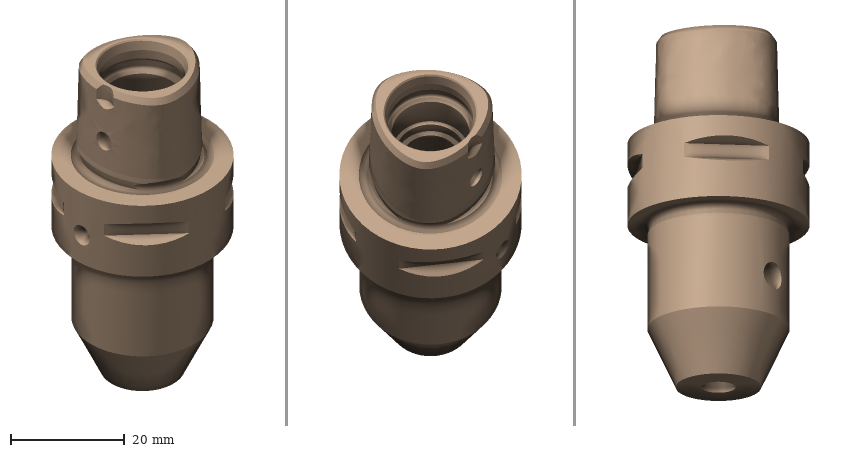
import cadquery as cq
import math


flange_diameter = 32.0
flange_height = 15.0
neck_diameter = 24.6
neck_length = 1.9
neck_fillet = 1.0
body_diameter = 25.0
nose_diameter = 15.0
nose_half_angle = 25.0
total_height = 64.0

shank_height = 19.0
shank_radius = 11.0
lobe = 0.7
curve_steps = 72
taper_slope = 1 / 40
gauge_height = 2.55
root_height = 1.55
root_inset = 0.2
collar_growth = 0.1
shank_chamfer_height = 1.1
shank_chamfer_inset = 0.75

relief_inner_radius = 10.75
relief_arc_radius = 1.0
relief_center_height = 0.55

mouth_diameter = 16.5
mouth_chamfer = 0.25
lip_diameter = 15.0
lip_top_height = 17.1
lip_bottom_height = 15.35
groove_top_height = 14.75
groove_bottom_height = 13.05
seat_diameter = 13.74
seat_top_height = 12.55
seat_floor_height = 6.6
counterbore_diameter = 12.3
counterbore_depth = 2.0
thread_core_diameter = 10.38
thread_depth = 8.0
clamping_diameter = 6.0
drill_half_angle = 60.0

slot_count = 4
slot_flat_distance = 14.15
slot_center_height = -6.05
slot_flat_height = 2.5
slot_flank_angle = 30.0

notch_radius = 2.8
notch_wall_distance = 8.95
notch_floor_height = 15.85
coolant_hole_diameter = 3.6
coolant_hole_height = 8.0
coolant_hole_end = 6.6
dimple_diameter = 4.0
dimple_height = -9.0

screw_hole_diameter = 4.92
screw_hole_height = -27.0
screw_hole_end = 0.0

flange_radius = flange_diameter / 2
bottom_height = shank_height - total_height


def make_body():
    """Flange, filleted neck, cylindrical body and conical nose as one revolved outline."""
    neck_radius = neck_diameter / 2
    body_radius = body_diameter / 2
    nose_radius = nose_diameter / 2
    neck_bottom = -flange_height - neck_length
    nose_length = (body_radius - nose_radius) / math.tan(math.radians(nose_half_angle))
    return (
        cq.Workplane("XZ")
        .lineTo(flange_radius, 0)
        .lineTo(flange_radius, -flange_height)
        .lineTo(neck_radius + neck_fillet, -flange_height)
        .radiusArc((neck_radius, -flange_height - neck_fillet), -neck_fillet)
        .lineTo(neck_radius, neck_bottom)
        .lineTo(body_radius, neck_bottom)
        .lineTo(body_radius, bottom_height + nose_length)
        .lineTo(nose_radius, bottom_height)
        .lineTo(0, bottom_height)
        .close()
        .revolve(360, (0, 0), (0, 1))
    )


def lobed_wire(radius, height):
    """Closed three-lobed curve with one lobe toward +Y."""

    def point(turn):
        angle = 2 * math.pi * turn - math.pi / 2
        tangent_distance = radius - lobe * math.sin(3 * angle)
        slope = -3 * lobe * math.cos(3 * angle)
        return (
            tangent_distance * math.cos(angle) - slope * math.sin(angle),
            tangent_distance * math.sin(angle) + slope * math.cos(angle),
        )

    return cq.Workplane("XY").workplane(offset=height).parametricCurve(point, N=curve_steps).val()


def lobed_frustum(bottom_radius, lower_height, top_radius, upper_height):
    """Solid with straight sides between two lobed curves."""
    wires = [lobed_wire(bottom_radius, lower_height), lobed_wire(top_radius, upper_height)]
    return cq.Workplane(cq.Solid.makeLoft(wires, True))


def make_shank():
    """Straight lobed root, short flared collar, long taper and end chamfer."""
    root_radius = shank_radius - root_inset
    chamfer_start = shank_height - shank_chamfer_height
    taper_end_radius = shank_radius - taper_slope * (chamfer_start - gauge_height)
    end_radius = taper_end_radius - shank_chamfer_inset
    sections = [
        (shank_radius + collar_growth, root_height),
        (shank_radius, gauge_height),
        (taper_end_radius, chamfer_start),
        (end_radius, shank_height),
    ]
    shank = lobed_frustum(root_radius, -relief_arc_radius, root_radius, root_height)
    for lower, upper in zip(sections, sections[1:]):
        shank = shank.union(lobed_frustum(*lower, *upper))
    return shank


def make_relief():
    """Ring cutter: round inside with a 45 degree upper flank that trims the lobes."""
    center_radius = relief_inner_radius + relief_arc_radius
    diagonal = relief_arc_radius * math.sqrt(0.5)
    flank_start = (center_radius - diagonal, relief_center_height + diagonal)
    flank_end = (flange_radius, flank_start[1] + flange_radius - flank_start[0])
    outer_angle = math.asin(relief_center_height / relief_arc_radius)
    outer_radius = center_radius + relief_arc_radius * math.cos(outer_angle)
    return (
        cq.Workplane("XZ")
        .moveTo(outer_radius, 0)
        .threePointArc((relief_inner_radius, relief_center_height), flank_start)
        .lineTo(*flank_end)
        .lineTo(flange_radius, 0)
        .close()
        .revolve(360, (0, 0), (0, 1))
    )


def make_bore():
    """Stepped bore: tapered entry, lip, groove, counterbored thread core and clamping hole."""
    mouth_radius = mouth_diameter / 2
    entry_radius = mouth_radius - mouth_chamfer
    lip_radius = lip_diameter / 2
    seat_radius = seat_diameter / 2
    counterbore_radius = counterbore_diameter / 2
    core_radius = thread_core_diameter / 2
    clamping_radius = clamping_diameter / 2
    groove_fillet = entry_radius - lip_radius
    counterbore_floor = seat_floor_height - counterbore_depth
    thread_end = counterbore_floor - thread_depth
    cone_length = (core_radius - clamping_radius) / math.tan(math.radians(drill_half_angle))
    return (
        cq.Workplane("XZ")
        .moveTo(0, shank_height)
        .lineTo(mouth_radius, shank_height)
        .lineTo(entry_radius, shank_height - mouth_chamfer)
        .lineTo(lip_radius, lip_top_height)
        .lineTo(lip_radius, lip_bottom_height)
        .lineTo(entry_radius, groove_top_height)
        .lineTo(entry_radius, groove_bottom_height + groove_fillet)
        .radiusArc((lip_radius, groove_bottom_height), groove_fillet)
        .lineTo(seat_radius, seat_top_height)
        .lineTo(seat_radius, seat_floor_height)
        .lineTo(counterbore_radius, seat_floor_height)
        .lineTo(counterbore_radius, counterbore_floor)
        .lineTo(core_radius, counterbore_floor)
        .lineTo(core_radius, thread_end)
        .lineTo(clamping_radius, thread_end - cone_length)
        .lineTo(clamping_radius, bottom_height)
        .lineTo(0, bottom_height)
        .close()
        .revolve(360, (0, 0), (0, 1))
    )


def make_slot(angle):
    """Flat-bottomed slot with flared flanks, facing the given direction."""
    depth = flange_radius - slot_flat_distance
    flat_half = slot_flat_height / 2
    mouth_half = flat_half + depth * math.tan(math.radians(slot_flank_angle))
    outline = [
        (slot_flat_distance, slot_center_height - flat_half),
        (flange_radius, slot_center_height - mouth_half),
        (flange_radius, slot_center_height + mouth_half),
        (slot_flat_distance, slot_center_height + flat_half),
    ]
    slot = cq.Workplane("XZ").polyline(outline).close().extrude(flange_radius, both=True)
    return slot.rotate((0, 0, 0), (0, 0, 1), angle)


def make_notch():
    """Vertical round notch in the shank end with a 90 degree conical floor."""
    return (
        cq.Workplane("XZ")
        .moveTo(0, shank_height)
        .lineTo(notch_radius, shank_height)
        .lineTo(notch_radius, notch_floor_height)
        .lineTo(0, notch_floor_height - notch_radius)
        .close()
        .revolve(360, (0, 0), (0, 1))
        .translate((0, -notch_wall_distance - notch_radius, 0))
    )


def make_dimple():
    """Conical dimple in the flange with a 90 degree tip."""
    radius = dimple_diameter / 2
    cone = cq.Solid.makeCone(
        radius, 0, radius, cq.Vector(0, -flange_radius, dimple_height), cq.Vector(0, 1, 0)
    )
    return cq.Workplane(cone)


def make_radial_hole(diameter, height, end_distance, side):
    """Round hole from end_distance off the axis outward; side is +1 for +Y and -1 for -Y."""
    hole = cq.Solid.makeCylinder(
        diameter / 2, flange_radius, cq.Vector(0, side * end_distance, height), cq.Vector(0, side, 0)
    )
    return cq.Workplane(hole)


result = make_body().union(make_shank())
result = result.cut(make_relief()).cut(make_bore())
for slot_index in range(slot_count):
    result = result.cut(make_slot((slot_index + 0.5) * 360 / slot_count))
result = result.cut(make_notch())
result = result.cut(make_dimple())
result = result.cut(make_radial_hole(coolant_hole_diameter, coolant_hole_height, coolant_hole_end, -1))
result = result.cut(make_radial_hole(screw_hole_diameter, screw_hole_height, screw_hole_end, 1))